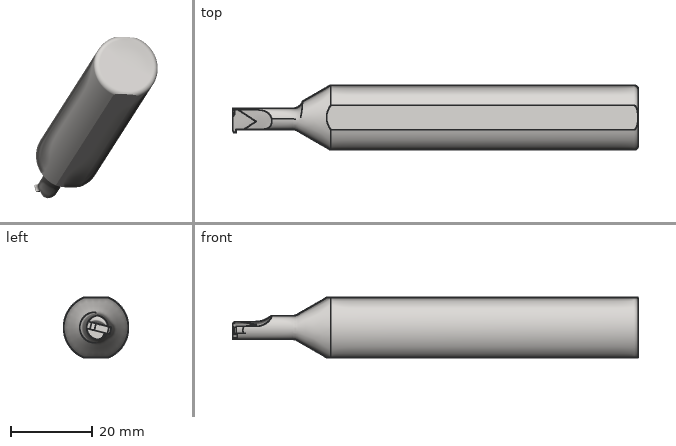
import cadquery as cq
import math

total_length = 100.0
shank_radius = 8.0
flat_height = 14.8
rear_fillet = 1.2

neck_radius = 2.95
cone_end_x = 24.2
cone_angle = math.radians(30)
cone_start_x = cone_end_x - (shank_radius - neck_radius) / math.tan(cone_angle)
neck_fillet = 2.3

relief_offset = 0.65
relief_end_x = 14.9
relief_runout = 2.5
relief_outer_radius = 8.0

tilt_angle = 14.0
rake_height = 1.0
rake_flat_length = 5.7
rake_runout = 5.0

clearance_length = 1.2
clearance_distance = 2.57
clearance_angle = 29.0

insert_thickness = 1.75
insert_rear = (5.8, -1.0)
insert_side_angle = math.radians(34)
insert_corner_x = 0.3
tip_y = -3.9
tip_width = 0.9
tip_lead_x = 0.4
tip_lead_y = -3.3
notch_start_y = 0.0
notch_bottom = (0.6, 1.1)
notch_end = (0.3, 3.0)

margin = 10.0


def tilted_plane():
    """Rake face plane: local x along X, local y towards the raised +Y side."""
    plane = cq.Plane(origin=(0, 0, rake_height), xDir=(1, 0, 0), normal=(0, 0, 1))
    return plane.rotated((tilt_angle, 0, 0))


def make_blank():
    profile = [
        (0, 0),
        (0, neck_radius),
        (cone_start_x, neck_radius),
        (cone_end_x, shank_radius),
        (total_length, shank_radius),
        (total_length, 0),
    ]
    blank = cq.Workplane("XY").polyline(profile).close().revolve(360, (0, 0, 0), (1, 0, 0))
    neck_edge = cq.selectors.BoxSelector(
        (cone_start_x - 0.1, -margin, -margin), (cone_start_x + 0.1, margin, margin)
    )
    blank = blank.edges(neck_edge).fillet(neck_fillet)
    blank = blank.faces(">X").edges().fillet(rear_fillet)
    flats = cq.Workplane("XY").box(total_length, 2 * shank_radius, flat_height, centered=(False, True, True))
    return blank.intersect(flats)


def make_relief_cutter():
    """Ring that trims the neck to an offset circle and flares out into the cone."""
    runout_end_x = relief_end_x + relief_runout
    arc_x = relief_end_x + relief_runout * math.sin(math.radians(45))
    arc_y = neck_radius + relief_runout * (1 - math.cos(math.radians(45)))
    ring = (
        cq.Workplane("XY")
        .moveTo(-margin, neck_radius)
        .lineTo(relief_end_x, neck_radius)
        .threePointArc((arc_x, arc_y), (runout_end_x, neck_radius + relief_runout))
        .lineTo(runout_end_x, relief_outer_radius)
        .lineTo(-margin, relief_outer_radius)
        .close()
        .revolve(360, (0, 0, 0), (1, 0, 0))
    )
    return ring.translate((0, -relief_offset, 0))


def make_rake_cutter():
    """Space above the rake face, ending in a quarter-round runout."""
    arc_x = rake_flat_length + rake_runout * math.sin(math.radians(45))
    arc_y = rake_runout * (1 - math.cos(math.radians(45)))
    section_plane = cq.Plane(origin=(0, 0, rake_height), xDir=(1, 0, 0), normal=(0, -1, 0))
    cutter = (
        cq.Workplane(section_plane)
        .moveTo(-margin, 0)
        .lineTo(rake_flat_length, 0)
        .threePointArc((arc_x, arc_y), (rake_flat_length + rake_runout, rake_runout))
        .lineTo(-margin, rake_runout)
        .close()
        .extrude(margin, both=True)
    )
    return cutter.rotate((0, 0, rake_height), (1, 0, rake_height), tilt_angle)


def make_nose_clearance():
    cutter = cq.Workplane("XY").box(clearance_length, margin, margin, centered=(False, False, True))
    cutter = cutter.translate((0, clearance_distance, 0))
    return cutter.rotate((0, 0, 0), (1, 0, 0), 180 + clearance_angle)


def make_pocket(neck_space):
    """Volume that the insert fills before its front edge is notched."""
    rear_x, rear_y = insert_rear
    corner_y = rear_y + (rear_x - insert_corner_x) * math.tan(insert_side_angle)
    flank_x = rear_x - (rear_y - tip_y) / math.tan(insert_side_angle)
    outline = [
        (insert_corner_x, corner_y),
        insert_rear,
        (flank_x, tip_y),
        (tip_lead_x, tip_y),
        (0, tip_lead_y),
        (0, corner_y),
    ]
    plate = cq.Workplane(tilted_plane()).polyline(outline).close().extrude(-insert_thickness)
    tip_space = cq.Workplane("XY").box(tip_width, margin, margin, centered=(False, False, True))
    tip_space = tip_space.translate((0, -margin, 0))
    return plate.intersect(neck_space.union(tip_space))


def make_notch():
    """V-shaped relief from the front edge out to the +Y corner."""
    outline = [
        (0, notch_start_y),
        notch_bottom,
        notch_end,
        (-margin, notch_end[1]),
        (-margin, notch_start_y),
    ]
    return cq.Workplane(tilted_plane()).polyline(outline).close().extrude(margin, both=True)


relieved_blank = make_blank().cut(make_relief_cutter())
pocket = make_pocket(relieved_blank)
insert = pocket.cut(make_notch())
holder = (
    relieved_blank
    .cut(make_rake_cutter())
    .cut(make_nose_clearance())
    .cut(pocket)
)

result = cq.Compound.makeCompound([holder.val(), insert.val()])